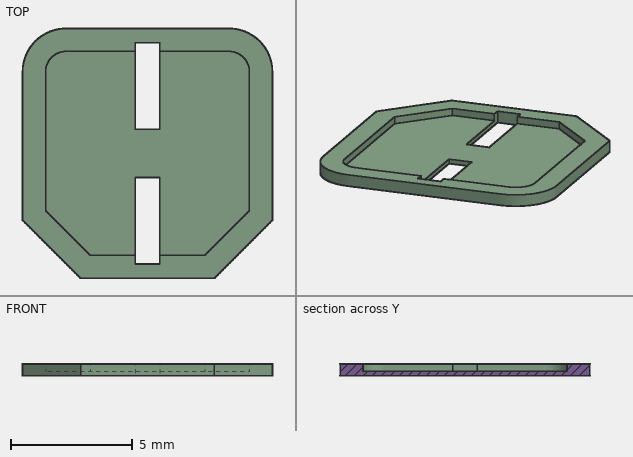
import cadquery as cq

side = 10.3
thickness = 0.5
corner_radius = 1.8
corner_chamfer = 2.4

rim_width = 0.95
floor_thickness = 0.2

slot_width = 1.0
slot_length = 3.55
slot_gap = 2.0


def make_plate():
    """Square plate with rounded +Y corners and chamfered -Y corners, bottom at Z = 0."""
    block = cq.Workplane("XY").box(side, side, thickness, centered=(True, True, False))
    rounded = block.edges("|Z and >Y").fillet(corner_radius)
    return rounded.edges("|Z and <Y").chamfer(corner_chamfer)


def make_pocket(plate):
    """Plate outline shrunk by the rim width, from the pocket floor to the top face."""
    outline = plate.faces("<Z").wires().val().offset2D(-rim_width)[0]
    pocket_depth = thickness - floor_thickness
    profile = cq.Workplane("XY").add(outline).toPending()
    return profile.extrude(pocket_depth).translate((0, 0, floor_thickness))


def make_slots():
    """Cutters for both slots, mirrored about the X axis."""
    slot_center = (slot_gap + slot_length) / 2
    centers = [(0, slot_center), (0, -slot_center)]
    return cq.Workplane("XY").pushPoints(centers).rect(slot_width, slot_length).extrude(thickness)


plate = make_plate()
result = plate.cut(make_pocket(plate)).cut(make_slots())